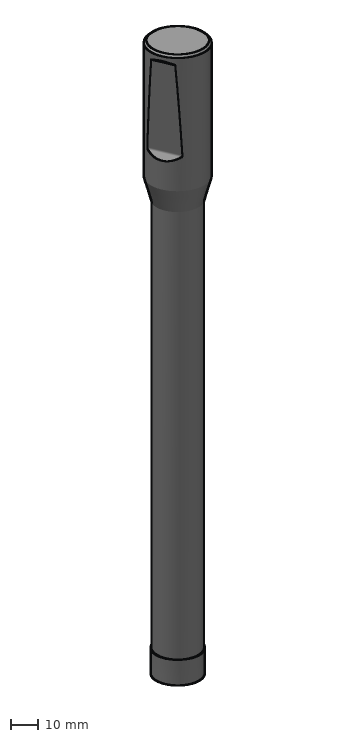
import cadquery as cq
import math

overall_length = 264.5

shank_diameter = 25.0
shank_length = 56.0
shank_chamfer = 1.0

body_diameter = 19.4
neck_length = 10.0

head_diameter = 20.0
head_top_diameter = 19.95
head_length = 14.2
point_angle = 140.0

flat_slope = 2.0
flat_start = 4.0
flat_end = 41.7
flat_end_depth = 2.35
flat_wall_angle = 45.0
flat_fillet = 1.0
cut_clearance = 1.0

shank_radius = shank_diameter / 2
body_radius = body_diameter / 2
head_radius = head_diameter / 2
head_top_radius = head_top_diameter / 2
shank_start_z = overall_length - shank_length
neck_start_z = shank_start_z - neck_length
point_height = head_radius / math.tan(math.radians(point_angle / 2))


def revolve_about_z(points):
    """Revolve a closed (radius, z) outline about the Z axis."""
    return cq.Workplane("XZ").polyline(points).close().revolve(360, (0, 0, 0), (0, 1, 0))


def make_flat_cutter():
    """Wedge that removes the clamping flat, with sloped walls at both ends."""
    start_depth = flat_end_depth - (flat_end - flat_start) * math.tan(math.radians(flat_slope))
    wall_run = 1 / math.tan(math.radians(flat_wall_angle))
    start_z = overall_length - flat_start
    end_z = overall_length - flat_end
    outer_y = -shank_radius - cut_clearance
    outline = [
        (outer_y, start_z + (start_depth + cut_clearance) * wall_run),
        (-shank_radius + start_depth, start_z),
        (-shank_radius + flat_end_depth, end_z),
        (outer_y, end_z - (flat_end_depth + cut_clearance) * wall_run),
    ]
    wedge = cq.Workplane("YZ").polyline(outline).close().extrude(shank_radius, both=True)
    deep_corner = cq.selectors.NearestToPointSelector((0, -shank_radius + flat_end_depth, end_z))
    return wedge.edges("|X").edges(deep_corner).fillet(flat_fillet)


def make_holder():
    """Shank, tapered neck and long body, with the clamping flat cut into the shank."""
    holder = revolve_about_z([
        (0, head_length),
        (body_radius, head_length),
        (body_radius, neck_start_z),
        (shank_radius, shank_start_z),
        (shank_radius, overall_length - shank_chamfer),
        (shank_radius - shank_chamfer, overall_length),
        (0, overall_length),
    ])
    return holder.cut(make_flat_cutter())


def make_cutting_head():
    """Slightly back-tapered head with a conical point."""
    return revolve_about_z([
        (0, 0),
        (head_radius, point_height),
        (head_top_radius, head_length),
        (0, head_length),
    ])


holder = make_holder()
cutting_head = make_cutting_head()

result = cq.Compound.makeCompound([holder.val(), cutting_head.val()])